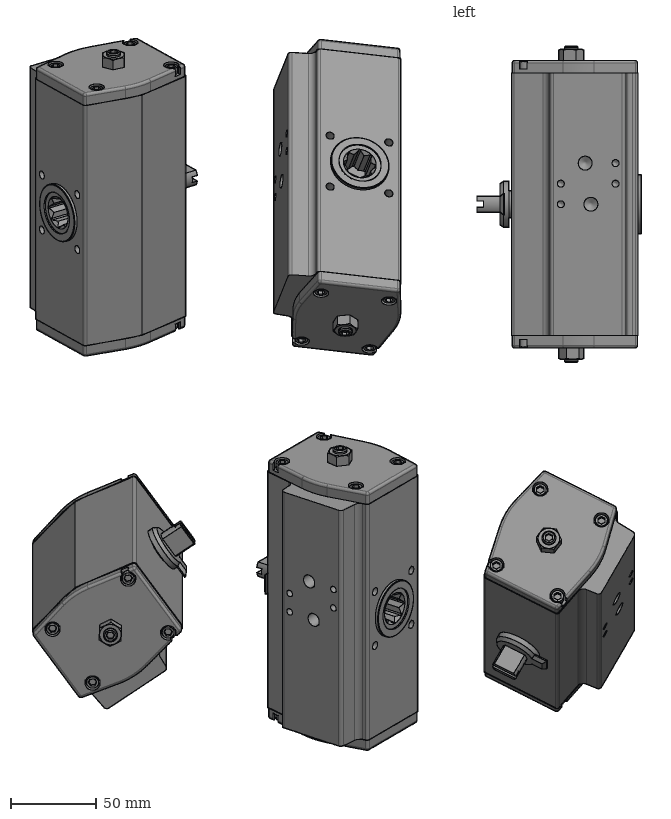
import cadquery as cq
import math


BODY_BACK = 35.2
BODY_FRONT = -39.2
BODY_CORNER_X = 25.0
BODY_RIDGE_X = 32.0
BODY_RIDGE_Y = -2.8
BODY_HALF_LENGTH = 77.2
BODY_CORNER_RADIUS = 1.9

PAD_X = -41.0
PAD_TOP_Y = 12.5
PAD_BOTTOM_Y = -31.8
PAD_FLARE_SLOPE = 0.08
PAD_ROOT_RADIUS = 4.0
PAD_EDGE_RADIUS = 2.2

CAP_BACK = 34.8
CAP_FRONT = -39.0
CAP_CORNER_X = 24.4
CAP_CROWN_X = 31.5
CAP_ARC_END_X = 30.5
CAP_ARC_BACK_Y = 4.8
CAP_ARC_FRONT_Y = -13.4
CAP_THICKNESS = 7.5
CAP_CORNER_RADIUS = 1.9
CAP_EDGE_RADIUS = 1.7
CAP_TOP = BODY_HALF_LENGTH + CAP_THICKNESS

SCREW_X = 20.5
SCREW_Y = 27.2
SCREW_RECESS_RADIUS = 4.5
SCREW_RECESS_DEPTH = 5.0
SCREW_HEAD_RADIUS = 3.5
SCREW_HEAD_HEIGHT = 4.3
SCREW_SOCKET_DIAMETER = 4.8
SCREW_SOCKET_DEPTH = 2.2
NOTCH_WIDTH = 4.5
NOTCH_LENGTH = 7.5

HALF_LENGTH = 93.0
NUT_CORNER_DIAMETER = 14.9
NUT_HEIGHT = 6.5
NUT_TURN = 22
NUT_CHAMFER_RADIAL = 1.1
NUT_CHAMFER_AXIAL = 0.5
STOP_RADIUS = 4.0
STOP_CHAMFER = 0.7
STOP_SOCKET_DIAMETER = 4.8
STOP_SOCKET_DEPTH = 1.9

SPINDLE_TIP = 55.5
SPINDLE_RADIUS = 8.0
SPINDLE_FLATS = 9.5
TIP_SLOT_WIDTH = 3.5
TIP_SLOT_DEPTH = 3.7
DISC_RADIUS = 13.5
DISC_BOTTOM = 36.6
DISC_TOP = 42.0
DISC_CHAMFER_AXIAL = 2.2
DISC_CHAMFER_RADIAL = 1.5
POINTER_LENGTH = 20.0
POINTER_WIDTH = 12.6
POINTER_THICKNESS = 2.8
POINTER_CHAMFER = 2.0

RING_FACE = -41.3
RING_RADIUS = 17.5
RING_CHAMFER = 0.4
RING_BORE_RADIUS = 12.6
RING_BORE_DEPTH = 1.0
SQUARE_SIZE = 14.1
SQUARE_DEPTH = 18.6
SQUARE_TIP_RADIUS = 9.5
LEAD_IN_RADIUS = 9.9
LEAD_IN_DEPTH = 2.6

DRILL_TIP_ANGLE = 118
MOUNT_OFFSET = 17.7
MOUNT_RADIUS = 2.5
MOUNT_DEPTH = 9.3
PORT_RADIUS = 4.0
PORT_DEPTH = 11.2
VALVE_HOLE_RADIUS = 2.0
VALVE_HOLE_DEPTH = 7.5
VALVE_PITCH = 12.0
PORT_PLACES = [(-8.2, 2 * VALVE_PITCH), (-11.5, 0)]
VALVE_PLACES = [(6.1, 0), (6.1, VALVE_PITCH), (-26.0, VALVE_PITCH), (-26.0, 2 * VALVE_PITCH)]


def disc_along_y(radius, y_start, y_end):
    """Cylinder on the spindle axis between two Y positions."""
    return cq.Workplane("XZ", origin=(0, y_start, 0)).circle(radius).extrude(y_start - y_end)


def drilled_hole(place, direction, radius, depth):
    """Blind hole with a conical bottom, running from a point along a direction."""
    tip = radius / math.tan(math.radians(DRILL_TIP_ANGLE / 2))
    outline = [(0, 0), (radius, 0), (radius, depth), (0, depth + tip)]
    hole = cq.Workplane("XY").polyline(outline).close().revolve(360, (0, 0), (0, 1))
    plane = cq.Plane(origin=place, xDir=(0, 0, 1), normal=direction)
    upright = hole.rotate((0, 0, 0), (1, 0, 0), 90)
    return cq.Workplane(upright.val().moved(cq.Location(plane)))


def make_body():
    """Six-sided extrusion with a ridge on each side and the pad on the -X side."""
    length = 2 * BODY_HALF_LENGTH
    base = cq.Workplane("XY", origin=(0, 0, -BODY_HALF_LENGTH))
    barrel = base.polyline([
        (-BODY_CORNER_X, BODY_BACK),
        (BODY_CORNER_X, BODY_BACK),
        (BODY_RIDGE_X, BODY_RIDGE_Y),
        (BODY_CORNER_X, BODY_FRONT),
        (-BODY_CORNER_X, BODY_FRONT),
        (-BODY_RIDGE_X, BODY_RIDGE_Y),
    ]).close().extrude(length)
    barrel = barrel.edges("|Z and (>Y or <Y)").fillet(BODY_CORNER_RADIUS)
    flare = PAD_FLARE_SLOPE * abs(PAD_X)
    pad = base.polyline([
        (PAD_X, PAD_TOP_Y),
        (0, PAD_TOP_Y + flare),
        (0, PAD_BOTTOM_Y - flare),
        (PAD_X, PAD_BOTTOM_Y),
    ]).close().extrude(length)
    pad = pad.edges("|Z and <X").fillet(PAD_EDGE_RADIUS)
    body = barrel.union(pad)
    roots = cq.selectors.BoxSelector(
        (-BODY_RIDGE_X, PAD_BOTTOM_Y - flare, -HALF_LENGTH),
        (-BODY_CORNER_X, PAD_TOP_Y + flare, HALF_LENGTH))
    return body.edges("|Z").edges(roots).fillet(PAD_ROOT_RADIUS)


def make_nut():
    """Hexagonal lock nut with its outer corners turned down, standing on the cap."""
    radius = NUT_CORNER_DIAMETER / 2
    place = cq.Workplane("XY", origin=(0, 0, CAP_TOP))
    hexagon = place.polygon(6, NUT_CORNER_DIAMETER).extrude(NUT_HEIGHT)
    hexagon = hexagon.rotate((0, 0, 0), (0, 0, 1), NUT_TURN)
    turned = place.circle(radius).extrude(NUT_HEIGHT)
    turned = turned.faces(">Z").chamfer(NUT_CHAMFER_AXIAL, NUT_CHAMFER_RADIAL)
    return hexagon.intersect(turned)


def make_stop_screw():
    """End of the stop screw with its hexagon socket."""
    screw = cq.Workplane("XY", origin=(0, 0, CAP_TOP)).circle(STOP_RADIUS).extrude(HALF_LENGTH - CAP_TOP)
    screw = screw.faces(">Z").chamfer(STOP_CHAMFER)
    return screw.faces(">Z").workplane().polygon(6, STOP_SOCKET_DIAMETER).cutBlind(-STOP_SOCKET_DEPTH)


def make_cap():
    """End cap on the +Z end with its four screws, lock nut and stop screw."""
    arc_middle_y = (CAP_ARC_BACK_Y + CAP_ARC_FRONT_Y) / 2
    cap = (
        cq.Workplane("XY", origin=(0, 0, BODY_HALF_LENGTH))
        .moveTo(-CAP_CORNER_X, CAP_BACK)
        .lineTo(CAP_CORNER_X, CAP_BACK)
        .lineTo(CAP_ARC_END_X, CAP_ARC_BACK_Y)
        .threePointArc((CAP_CROWN_X, arc_middle_y), (CAP_ARC_END_X, CAP_ARC_FRONT_Y))
        .lineTo(CAP_CORNER_X, CAP_FRONT)
        .lineTo(-CAP_CORNER_X, CAP_FRONT)
        .lineTo(-CAP_ARC_END_X, CAP_ARC_FRONT_Y)
        .threePointArc((-CAP_CROWN_X, arc_middle_y), (-CAP_ARC_END_X, CAP_ARC_BACK_Y))
        .close()
        .extrude(CAP_THICKNESS)
    )
    cap = cap.edges("|Z and (>Y or <Y)").fillet(CAP_CORNER_RADIUS)
    cap = cap.faces(">Z").edges().fillet(CAP_EDGE_RADIUS)

    places = [(x, y) for x in (-SCREW_X, SCREW_X) for y in (-SCREW_Y, SCREW_Y)]
    floor = CAP_TOP - SCREW_RECESS_DEPTH
    seats = cq.Workplane("XY", origin=(0, 0, floor)).pushPoints(places)
    cap = cap.cut(seats.circle(SCREW_RECESS_RADIUS).extrude(SCREW_RECESS_DEPTH))
    slope = math.degrees(math.atan2(CAP_ARC_END_X - CAP_CORNER_X, CAP_BACK - CAP_ARC_BACK_Y))
    for side in (-1, 1):
        notch = cq.Workplane("XY").box(
            NOTCH_LENGTH, NOTCH_WIDTH, SCREW_RECESS_DEPTH, centered=(False, True, False))
        turn = slope if side > 0 else 180 - slope
        notch = notch.rotate((0, 0, 0), (0, 0, 1), turn)
        cap = cap.cut(notch.translate((side * SCREW_X, SCREW_Y, floor)))
    heads = seats.circle(SCREW_HEAD_RADIUS).extrude(SCREW_HEAD_HEIGHT)
    sockets = (
        cq.Workplane("XY", origin=(0, 0, floor + SCREW_HEAD_HEIGHT))
        .pushPoints(places)
        .polygon(6, SCREW_SOCKET_DIAMETER)
        .extrude(-SCREW_SOCKET_DEPTH)
    )
    cap = cap.union(heads).cut(sockets)
    return cap.union(make_nut()).union(make_stop_screw())


def make_pointer():
    """Flat pointer on the indicator disc, bevelled along its upper edges."""
    pointer = cq.Workplane("XY").box(
        POINTER_LENGTH, POINTER_THICKNESS, POINTER_WIDTH, centered=(False, False, True))
    pointer = pointer.translate((-POINTER_LENGTH, DISC_TOP - POINTER_THICKNESS, 0))
    return pointer.faces(">Y").edges("not >X").chamfer(POINTER_CHAMFER)


def make_spindle_top():
    """Spindle end with two flats and a cross slot, above the indicator disc."""
    neck = disc_along_y(SPINDLE_RADIUS, BODY_BACK, DISC_TOP)
    disc = disc_along_y(DISC_RADIUS, DISC_BOTTOM, DISC_TOP)
    disc = disc.faces(">Y").chamfer(DISC_CHAMFER_AXIAL, DISC_CHAMFER_RADIAL)
    height = SPINDLE_TIP - DISC_TOP
    stem = disc_along_y(SPINDLE_RADIUS, DISC_TOP, SPINDLE_TIP)
    flats = cq.Workplane("XY", origin=(0, DISC_TOP + height / 2, 0)).box(
        2 * SPINDLE_RADIUS, height, SPINDLE_FLATS)
    slot = cq.Workplane("XY", origin=(0, SPINDLE_TIP - TIP_SLOT_DEPTH / 2, 0)).box(
        2 * SPINDLE_RADIUS, TIP_SLOT_DEPTH, TIP_SLOT_WIDTH)
    return neck.union(disc).union(make_pointer()).union(stem.intersect(flats).cut(slot))


def make_ring():
    """Centring ring on the drive face."""
    ring = disc_along_y(RING_RADIUS, RING_FACE, BODY_FRONT)
    return ring.faces("<Y").chamfer(RING_CHAMFER)


def make_drive_bore():
    """Double square bore with a conical lead-in, inside the ring's shallow recess."""
    spindle_face = RING_FACE + RING_BORE_DEPTH
    square = cq.Workplane("XZ", origin=(0, spindle_face, 0)).rect(SQUARE_SIZE, SQUARE_SIZE)
    square = square.extrude(-SQUARE_DEPTH)
    double_square = square.union(square.rotate((0, 0, 0), (0, 1, 0), 45))
    rounded_tips = disc_along_y(SQUARE_TIP_RADIUS, spindle_face, spindle_face + SQUARE_DEPTH)
    lead_in = (
        cq.Workplane("XZ", origin=(0, spindle_face, 0))
        .circle(LEAD_IN_RADIUS)
        .workplane(offset=-LEAD_IN_DEPTH)
        .circle(LEAD_IN_RADIUS - LEAD_IN_DEPTH)
        .loft()
    )
    recess = disc_along_y(RING_BORE_RADIUS, RING_FACE, spindle_face)
    return recess.union(double_square.intersect(rounded_tips)).union(lead_in)


cap = make_cap()
result = make_body().union(cap)
result = result.union(cap.rotate((0, 0, 0), (0, 1, 0), 180))
result = result.union(make_spindle_top()).union(make_ring()).cut(make_drive_bore())

for x in (-MOUNT_OFFSET, MOUNT_OFFSET):
    for z in (-MOUNT_OFFSET, MOUNT_OFFSET):
        result = result.cut(drilled_hole((x, BODY_FRONT, z), (0, 1, 0), MOUNT_RADIUS, MOUNT_DEPTH))
for y, z in PORT_PLACES:
    result = result.cut(drilled_hole((PAD_X, y, z), (1, 0, 0), PORT_RADIUS, PORT_DEPTH))
for y, z in VALVE_PLACES:
    result = result.cut(drilled_hole((PAD_X, y, z), (1, 0, 0), VALVE_HOLE_RADIUS, VALVE_HOLE_DEPTH))